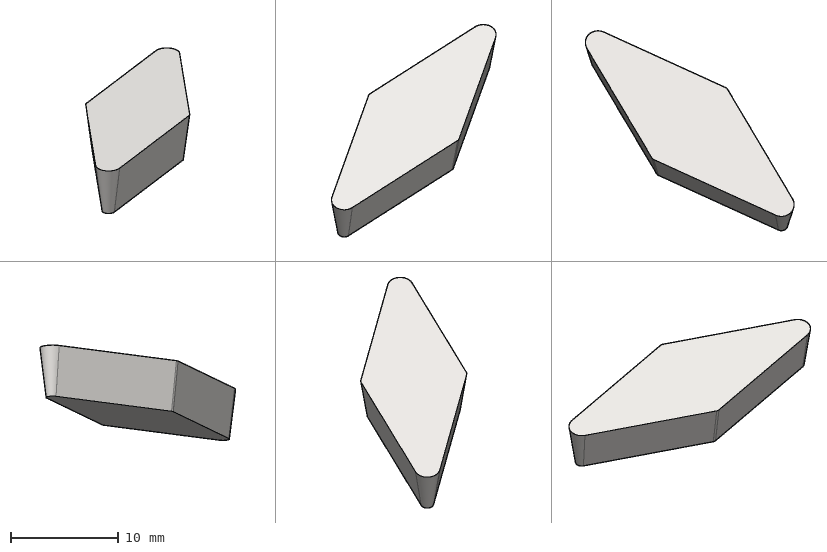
import cadquery as cq
import math

width = 9.54
length = 25.03
thickness = 4.75
tip_angle = math.radians(35)
clearance_angle = math.radians(7)
blunt_radius = 0.4

sharp_length = width * (1 + math.cos(tip_angle)) / math.sin(tip_angle)
tip_trim_per_radius = 1 / math.tan(tip_angle / 2) - 1
tip_radius = (sharp_length - length) / 2 / tip_trim_per_radius
side_inset = thickness * math.tan(clearance_angle)


def rhombus(across_sides):
    """Vertices of a rhombus with two sides along Y, centred on the origin."""
    half_width = across_sides / 2
    side = across_sides / math.sin(tip_angle)
    tip_y = side * (1 + math.cos(tip_angle)) / 2
    blunt_y = tip_y - side
    return [
        (-half_width, tip_y),
        (-half_width, blunt_y),
        (half_width, -tip_y),
        (half_width, -blunt_y),
    ]


def toward(start, end, distance):
    """Point at the given distance from start on the line to end."""
    step = distance / math.dist(start, end)
    return tuple(a + (b - a) * step for a, b in zip(start, end))


def rounded_face(across_sides, tip_round, height):
    """Wire of the rhombus with rounded tips and rounded obtuse corners."""
    corners = rhombus(across_sides)
    outline = cq.Workplane("XY", origin=(0, 0, height))
    start = None
    for i, corner in enumerate(corners):
        is_tip = i % 2 == 0
        radius = tip_round if is_tip else blunt_radius
        half_angle = tip_angle / 2 if is_tip else (math.pi - tip_angle) / 2
        tangent_length = radius / math.tan(half_angle)
        arc_start = toward(corner, corners[i - 1], tangent_length)
        arc_end = toward(corner, corners[(i + 1) % 4], tangent_length)
        arc_middle = toward(corner, (0, 0), radius / math.sin(half_angle) - radius)
        if start is None:
            start = arc_start
            outline = outline.moveTo(*arc_start)
        else:
            outline = outline.lineTo(*arc_start)
        outline = outline.threePointArc(arc_middle, arc_end)
    return outline.lineTo(*start).wire().val()


bottom = rounded_face(width - 2 * side_inset, tip_radius - side_inset, 0)
top = rounded_face(width, tip_radius, thickness)
result = cq.Workplane(cq.Solid.makeLoft([bottom, top], True))